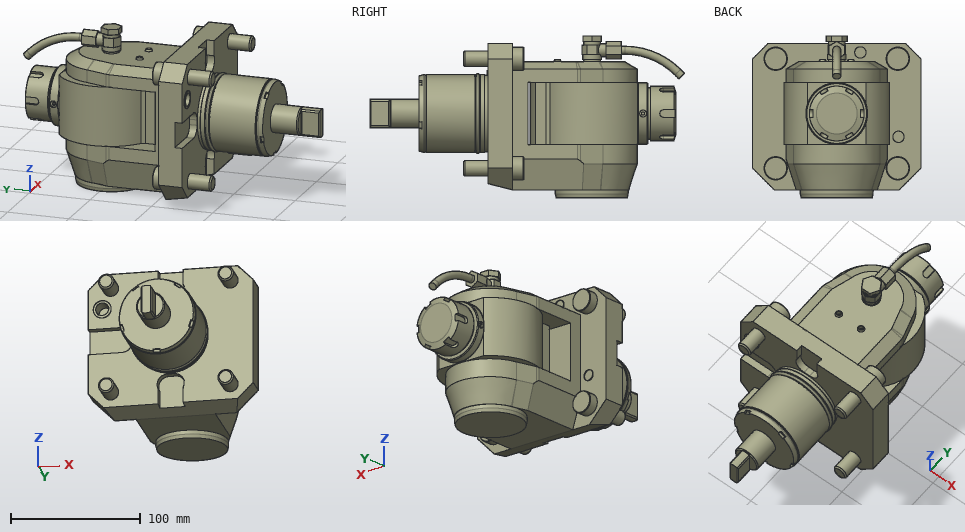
import cadquery as cq
import math


PLATE_WIDTH = 130.0
PLATE_THICKNESS = 19.2
PLATE_TOP = 54.0
PLATE_BACK_BOTTOM = 59.0
PLATE_CORNER = 12.1

SCREW_X = 47.0
SCREW_Z = 42.2
SCREW_RADIUS = 6.0
SCREW_REACH = 19.0
SCREW_HEAD_RADIUS = 9.0
SCREW_HEAD_LENGTH = 8.5
SCREW_CHAMFER = 1.2
SCREW_HEAD_CHAMFER = 0.5

SLOT_DEPTH = 6.0
SLOT_WIDTH = 19.7
SLOT_RELIEF_WIDTH = 21.4
SLOT_RELIEF_Z = 38.3
SLOT_END_RADIUS = 8.0
SIDE_SLOT_WIDTH = 20.5
SIDE_SLOT_END = SLOT_RELIEF_Z - SLOT_END_RADIUS

PORT_X = -53.9
PORT_Z = 26.0
PORT_RADIUS = 5.0
PORT_DEPTH = 12.1
PORT_RING_RADIUS = 7.0
PORT_RING_HEIGHT = 0.6

PLUG_CENTRES = [(-18.2, 47.0), (-47.5, -18.0)]
PLUG_RADIUS = 4.4
PLUG_HEIGHT = 0.7

SHANK_RADIUS = 30.0
SHANK_NECK_RADIUS = 29.5
SHANK_COLLAR_START = 2.5
SHANK_COLLAR_END = 5.8
O_RING_Y = -7.8
O_RING_RADIUS = 30.8
O_RING_THICKNESS = 2.7
SHANK_GROOVE_RADIUS = 28.5
SHANK_BODY_START = 10.0
END_GROOVE_START = 47.3
END_GROOVE_WIDTH = 1.0
SHANK_LENGTH = 53.1
SHANK_END_CHAMFER = 1.0
SHANK_END_CHAMFER_LENGTH = 3.6
NOTCH_COUNT = 5
NOTCH_WIDTH = 5.5
NOTCH_LENGTH = 2.2
NOTCH_FLOOR_RADIUS = 27.7
SHAFT_RADIUS = 11.2
SHAFT_END = 75.5
SHAFT_CHAMFER = 1.0
TANG_THICKNESS = 8.5
TANG_END = 91.0
TANG_CHAMFER = 1.0

SWIVEL_Y = 81.3
HOUSING_HALF_WIDTH = 39.0
HOUSING_STRAIGHT_END = 69.0
NOSE_BEVEL_X = 38.5
NOSE_BEVEL_Y = 71.3
NOSE_ARC_X = 33.2
NOSE_ARC_Y = 88.5
HOUSING_TOP = 40.0
TOP_CHAMFER_HEIGHT = 5.8
TOP_CHAMFER_WIDTH = 9.7
HOUSING_BOTTOM = -59.0
NOSE_TAPER_START = -38.8
SIDE_TAPER_START = -35.0
BOTTOM_TAPER_ANGLE = 18.0
FORK_HALF_GAP = 24.0
FORK_FLOOR = 31.0

CAP_RADIUS = 28.1
CAP_HEIGHT = 6.0
CAP_CHAMFER = 0.7
CAP_CHAMFER_HEIGHT = 3.0
CAP_Y = 80.0

TOP_SCREW_X = 11.0
TOP_SCREW_Y = 53.6
TOP_SCREW_RADIUS = 3.0
TOP_SCREW_RIM_RADIUS = 2.2
TOP_SCREW_HEIGHT = 1.5
TOP_SCREW_SOCKET_RADIUS = 1.7
TOP_SCREW_SOCKET_DEPTH = 3.6

FITTING_Y = 80.3
FITTING_BASE_RADIUS = 6.5
FITTING_FLANGE_RADIUS = 7.3
FITTING_FLANGE_Z = 41.5
FITTING_BLOCK_Z = 45.5
FITTING_BLOCK_TOP = 52.7
FITTING_BLOCK_DIAMETER = 15.8
BOLT_HEAD_Z = 55.3
BOLT_HEAD_TOP = 60.0
BOLT_HEAD_DIAMETER = 16.5
HOSE_Z = 48.8
HOSE_NECK_RADIUS = 5.0
HOSE_NUT_START = 91.2
HOSE_NUT_END = 103.0
HOSE_NUT_DIAMETER = 13.5
HOSE_FERRULE_END = 105.5
HOSE_RADIUS = 3.2
HOSE_BEND_RADIUS = 57.8
HOSE_BEND_ANGLE = 45.0
HOSE_TIP_LENGTH = 4.4

HEAD_RADIUS = 40.8
HEAD_BACK = 115.3
TAB_ROOT_Y = 48.0
TAB_SHOULDER_Y = 44.7
TAB_CORNER_Y = 36.6
TAB_HALF_WIDTH = 22.3
TAB_FRONT_Y = 32.5

COLLAR_RADIUS = 23.8
COLLAR_END = 123.3
COLLAR_CHAMFER = 0.7
NUT_GROOVE_RADIUS = 20.0
NUT_START = 125.2
NUT_RADIUS = 21.0
NUT_CHAMFER_Y = 143.5
NUT_END = 145.0
NUT_END_RADIUS = 15.8
NUT_SLOT_COUNT = 6
NUT_SLOT_WIDTH = 5.8
NUT_SLOT_DEPTH = 2.7
NUT_SLOT_END = 132.5
SET_SCREW_Y = 119.6
SET_SCREW_RADIUS = 2.7
SET_SCREW_RECESS = 1.5
SET_SCREW_SOCKET_RADIUS = 1.2
SET_SCREW_SOCKET_DEPTH = 3.0


def cylinder_y(radius, y_from, y_to, x=0.0, z=0.0):
    """Cylinder along Y between two Y positions."""
    return cq.Workplane("XZ", origin=(x, y_from, z)).circle(radius).extrude(y_from - y_to)


def cylinder_z(radius, z_from, z_to, x=0.0, y=0.0):
    """Cylinder along Z between two Z positions."""
    return cq.Workplane("XY", origin=(x, y, z_from)).circle(radius).extrude(z_to - z_from)


def cylinder_x(radius, x_from, x_to, y=0.0, z=0.0):
    """Cylinder along X between two X positions."""
    return cq.Workplane("YZ", origin=(x_from, y, z)).circle(radius).extrude(x_to - x_from)


def turned_y(profile):
    """Solid turned about the Y axis from (radius, Y) points that start and end on the axis."""
    return cq.Workplane("XY").polyline(profile).close().revolve(360, (0, 0, 0), (0, 1, 0))


def box_between(x_from, x_to, y_from, y_to, z_from, z_to):
    """Box given by its limits on each axis."""
    size = (x_to - x_from, y_to - y_from, z_to - z_from)
    return cq.Workplane("XY").box(*size, centered=False).translate((x_from, y_from, z_from))


def make_plate():
    """Octagonal plate whose bottom edge slopes down towards the back."""
    half = PLATE_WIDTH / 2
    shoulder = half - PLATE_CORNER
    back_shoulder = shoulder - (PLATE_BACK_BOTTOM - PLATE_TOP)
    side_z = PLATE_TOP - PLATE_CORNER
    outline = [
        (-half, side_z),
        (-shoulder, PLATE_TOP),
        (shoulder, PLATE_TOP),
        (half, side_z),
        (half, -side_z),
        (back_shoulder, -PLATE_BACK_BOTTOM),
        (-back_shoulder, -PLATE_BACK_BOTTOM),
        (-half, -side_z),
    ]
    plate = cq.Workplane("XZ").polyline(outline).close().extrude(-PLATE_THICKNESS)
    slope = [(0, -PLATE_TOP), (PLATE_THICKNESS, -PLATE_BACK_BOTTOM), (0, -PLATE_BACK_BOTTOM)]
    return plate.cut(cq.Workplane("YZ").polyline(slope).close().extrude(half, both=True))


def cut_key_slots(plate):
    """Top, bottom and left key slots in the front face."""
    half_slot = SLOT_WIDTH / 2
    for side in (1, -1):
        z_limits = sorted((side * SLOT_RELIEF_Z, side * PLATE_BACK_BOTTOM))
        plate = plate.cut(box_between(-half_slot, half_slot, 0, SLOT_DEPTH, *z_limits))
        relief = (
            cq.Workplane("XZ", origin=(0, 0, side * SLOT_RELIEF_Z))
            .slot2D(SLOT_RELIEF_WIDTH, 2 * SLOT_END_RADIUS)
            .extrude(-SLOT_DEPTH)
        )
        plate = plate.cut(relief)
    half_side_slot = SIDE_SLOT_WIDTH / 2
    side_slot = box_between(
        -PLATE_WIDTH / 2, -SIDE_SLOT_END, 0, SLOT_DEPTH, -half_side_slot, half_side_slot
    )
    return plate.cut(side_slot.edges("|Y and >X").fillet(SLOT_END_RADIUS))


def add_coolant_port(plate):
    """Blind port ringed by a seal that stands slightly proud of the front face."""
    ring = cylinder_y(PORT_RING_RADIUS, -PORT_RING_HEIGHT, 0, PORT_X, PORT_Z)
    bore = cylinder_y(PORT_RADIUS, -PORT_RING_HEIGHT, PORT_DEPTH, PORT_X, PORT_Z)
    return plate.union(ring).cut(bore)


def make_plate_screw(x, z):
    """Cap screw through the plate, head on the back."""
    shaft = cylinder_y(SCREW_RADIUS, -SCREW_REACH, PLATE_THICKNESS, x, z)
    shaft = shaft.faces("<Y").chamfer(SCREW_CHAMFER)
    head = cylinder_y(SCREW_HEAD_RADIUS, PLATE_THICKNESS, PLATE_THICKNESS + SCREW_HEAD_LENGTH, x, z)
    return shaft.union(head.faces(">Y").chamfer(SCREW_HEAD_CHAMFER))


def make_shank():
    """Turned shank with O-ring, end groove and rim notches, carrying the drive shaft and its flat tang."""
    end_groove_end = END_GROOVE_START + END_GROOVE_WIDTH
    shank = turned_y([
        (0, 0),
        (SHANK_NECK_RADIUS, 0),
        (SHANK_NECK_RADIUS, -SHANK_COLLAR_START),
        (SHANK_RADIUS, -SHANK_COLLAR_START),
        (SHANK_RADIUS, -SHANK_COLLAR_END),
        (SHANK_GROOVE_RADIUS, -SHANK_COLLAR_END),
        (SHANK_GROOVE_RADIUS, -SHANK_BODY_START),
        (SHANK_RADIUS, -SHANK_BODY_START),
        (SHANK_RADIUS, -END_GROOVE_START),
        (SHANK_NECK_RADIUS, -END_GROOVE_START),
        (SHANK_NECK_RADIUS, -end_groove_end),
        (SHANK_RADIUS, -end_groove_end),
        (SHANK_RADIUS, SHANK_END_CHAMFER_LENGTH - SHANK_LENGTH),
        (SHANK_RADIUS - SHANK_END_CHAMFER, -SHANK_LENGTH),
        (0, -SHANK_LENGTH),
    ])
    section_radius = O_RING_THICKNESS / 2
    o_ring = (
        cq.Workplane("XY", origin=(O_RING_RADIUS - section_radius, O_RING_Y, 0))
        .circle(section_radius)
        .revolve(360, (section_radius - O_RING_RADIUS, 0, 0), (section_radius - O_RING_RADIUS, 1, 0))
    )
    shank = shank.union(o_ring)
    half_notch = NOTCH_WIDTH / 2
    notch_end = NOTCH_LENGTH - SHANK_LENGTH
    notch = box_between(
        -half_notch, half_notch, -SHANK_LENGTH, notch_end, -SHANK_RADIUS, -NOTCH_FLOOR_RADIUS
    )
    for index in range(NOTCH_COUNT):
        shank = shank.cut(notch.rotate((0, 0, 0), (0, 1, 0), index * 360 / NOTCH_COUNT))
    shaft = cylinder_y(SHAFT_RADIUS, -SHAFT_END, -SHANK_LENGTH).faces("<Y").chamfer(SHAFT_CHAMFER)
    tang = cylinder_y(SHAFT_RADIUS, -TANG_END, -SHAFT_END)
    tang = tang.intersect(cq.Workplane("XY").box(TANG_THICKNESS, 2 * TANG_END, 2 * SHAFT_RADIUS))
    tang = tang.faces("<X or >X").chamfer(TANG_CHAMFER)
    return shank.union(shaft).union(tang)


def fork_outline(z):
    """Fork outline: straight sides, a slight bevel, converging flanks and a round nose."""
    return (
        cq.Workplane("XY", origin=(0, 0, z))
        .moveTo(-HOUSING_HALF_WIDTH, 0)
        .lineTo(HOUSING_HALF_WIDTH, 0)
        .lineTo(HOUSING_HALF_WIDTH, HOUSING_STRAIGHT_END)
        .lineTo(NOSE_BEVEL_X, NOSE_BEVEL_Y)
        .lineTo(NOSE_ARC_X, NOSE_ARC_Y)
        .threePointArc((0, HEAD_BACK), (-NOSE_ARC_X, NOSE_ARC_Y))
        .lineTo(-NOSE_BEVEL_X, NOSE_BEVEL_Y)
        .lineTo(-HOUSING_HALF_WIDTH, HOUSING_STRAIGHT_END)
        .close()
    )


def make_fork():
    """Fork behind the plate: bevelled top, tapering bottom, open gap for the swivel head."""
    bevel_start = HOUSING_TOP - TOP_CHAMFER_HEIGHT
    bevel_angle = math.degrees(math.atan2(TOP_CHAMFER_WIDTH, TOP_CHAMFER_HEIGHT))
    fork = fork_outline(NOSE_TAPER_START).extrude(bevel_start - NOSE_TAPER_START)
    fork = fork.union(fork_outline(bevel_start).extrude(TOP_CHAMFER_HEIGHT, taper=bevel_angle))
    bottom_depth = HOUSING_BOTTOM - NOSE_TAPER_START
    bottom = fork_outline(NOSE_TAPER_START).extrude(bottom_depth, taper=BOTTOM_TAPER_ANGLE)
    fork = fork.union(bottom)

    side_depth = SIDE_TAPER_START - HOUSING_BOTTOM
    side_inset = side_depth * math.tan(math.radians(BOTTOM_TAPER_ANGLE))
    for side in (1, -1):
        wedge = [
            (side * HOUSING_HALF_WIDTH, SIDE_TAPER_START),
            (side * HOUSING_HALF_WIDTH, HOUSING_BOTTOM),
            (side * (HOUSING_HALF_WIDTH - side_inset), HOUSING_BOTTOM),
        ]
        fork = fork.cut(cq.Workplane("XZ").polyline(wedge).close().extrude(-SWIVEL_Y))

    behind_plate = box_between(
        -HOUSING_HALF_WIDTH, HOUSING_HALF_WIDTH, PLATE_THICKNESS, HEAD_BACK, HOUSING_BOTTOM, HOUSING_TOP
    )
    gap = box_between(
        -HEAD_RADIUS, HEAD_RADIUS, FORK_FLOOR, HEAD_BACK, -FORK_HALF_GAP, FORK_HALF_GAP
    )
    return fork.intersect(behind_plate).cut(gap)


def make_pivot_cap():
    """Round cap under the fork, narrowing towards its lower face."""
    cap = cylinder_z(CAP_RADIUS, HOUSING_BOTTOM - CAP_HEIGHT, HOUSING_BOTTOM, y=CAP_Y)
    return cap.faces("<Z").edges().chamfer(CAP_CHAMFER_HEIGHT, CAP_CHAMFER)


def add_top_screw(fork, x):
    """Small socket screw with a conical rim on the fork's top face."""
    rim = (
        cq.Workplane("XY", origin=(x, TOP_SCREW_Y, HOUSING_TOP))
        .circle(TOP_SCREW_RADIUS)
        .workplane(offset=TOP_SCREW_HEIGHT)
        .circle(TOP_SCREW_RIM_RADIUS)
        .loft()
    )
    rim_top = HOUSING_TOP + TOP_SCREW_HEIGHT
    socket = cylinder_z(
        TOP_SCREW_SOCKET_RADIUS, rim_top - TOP_SCREW_SOCKET_DEPTH, rim_top, x, TOP_SCREW_Y
    )
    return fork.union(rim).cut(socket)


def make_fitting():
    """Banjo fitting: round column with a hexagonal block and a hexagonal bolt head."""
    column = cylinder_z(FITTING_BASE_RADIUS, HOUSING_TOP, BOLT_HEAD_Z, y=FITTING_Y)
    flange = cylinder_z(FITTING_FLANGE_RADIUS, FITTING_FLANGE_Z, FITTING_BLOCK_Z, y=FITTING_Y)
    block = (
        cq.Workplane("XY", origin=(0, FITTING_Y, FITTING_BLOCK_Z))
        .transformed(rotate=(0, 0, 90))
        .polygon(6, FITTING_BLOCK_DIAMETER)
        .extrude(FITTING_BLOCK_TOP - FITTING_BLOCK_Z)
    )
    bolt_head = (
        cq.Workplane("XY", origin=(0, FITTING_Y, BOLT_HEAD_Z))
        .polygon(6, BOLT_HEAD_DIAMETER)
        .extrude(BOLT_HEAD_TOP - BOLT_HEAD_Z)
    )
    return column.union(flange).union(block).union(bolt_head)


def make_hose():
    """Hose leaving the fitting through a hexagonal nut and bending down in one arc."""
    neck = cylinder_y(HOSE_NECK_RADIUS, FITTING_Y, HOSE_NUT_START, z=HOSE_Z)
    nut = (
        cq.Workplane("XZ", origin=(0, HOSE_NUT_START, HOSE_Z))
        .transformed(rotate=(0, 0, 90))
        .polygon(6, HOSE_NUT_DIAMETER)
        .extrude(HOSE_NUT_START - HOSE_NUT_END)
    )
    ferrule = cylinder_y(HOSE_RADIUS, HOSE_NUT_END, HOSE_FERRULE_END, z=HOSE_Z)
    bend = (
        cq.Workplane("XZ", origin=(0, HOSE_FERRULE_END, HOSE_Z))
        .circle(HOSE_RADIUS)
        .revolve(HOSE_BEND_ANGLE, (2.5, -HOSE_BEND_RADIUS, 0), (0, -HOSE_BEND_RADIUS, 0))
    )
    angle = math.radians(HOSE_BEND_ANGLE)
    tip_start = cq.Vector(
        0,
        HOSE_FERRULE_END + HOSE_BEND_RADIUS * math.sin(angle),
        HOSE_Z - HOSE_BEND_RADIUS * (1 - math.cos(angle)),
    )
    tip_direction = cq.Vector(0, math.cos(angle), -math.sin(angle))
    tip = cq.Solid.makeCylinder(HOSE_RADIUS, HOSE_TIP_LENGTH, tip_start, tip_direction)
    return neck.union(nut).union(ferrule).union(bend).union(cq.Workplane(tip))


def make_housing():
    """Everything fixed to the plate, joined into one body."""
    housing = add_coolant_port(cut_key_slots(make_plate()))
    for x, z in PLUG_CENTRES:
        plug = cylinder_y(PLUG_RADIUS, PLATE_THICKNESS, PLATE_THICKNESS + PLUG_HEIGHT, x, z)
        housing = housing.union(plug)
    housing = housing.union(make_shank()).union(make_fork()).union(make_pivot_cap())
    for x in (-SCREW_X, SCREW_X):
        for z in (-SCREW_Z, SCREW_Z):
            housing = housing.union(make_plate_screw(x, z))
    for x in (-TOP_SCREW_X, TOP_SCREW_X):
        housing = add_top_screw(housing, x)
    return housing.union(make_fitting()).union(make_hose())


def chord_half_width(y):
    """Half width of the head's round outline at a given Y."""
    return math.sqrt(HEAD_RADIUS**2 - (y - SWIVEL_Y) ** 2)


def make_head_block():
    """Round block with a flat back and a rounded tab at the front."""
    back_x = chord_half_width(HEAD_BACK)
    root_x = chord_half_width(TAB_ROOT_Y)
    return (
        cq.Workplane("XY", origin=(0, 0, -FORK_HALF_GAP))
        .moveTo(-back_x, HEAD_BACK)
        .lineTo(back_x, HEAD_BACK)
        .threePointArc((HEAD_RADIUS, SWIVEL_Y), (root_x, TAB_ROOT_Y))
        .lineTo(TAB_HALF_WIDTH, TAB_SHOULDER_Y)
        .lineTo(TAB_HALF_WIDTH, TAB_CORNER_Y)
        .threePointArc((0, TAB_FRONT_Y), (-TAB_HALF_WIDTH, TAB_CORNER_Y))
        .lineTo(-TAB_HALF_WIDTH, TAB_SHOULDER_Y)
        .lineTo(-root_x, TAB_ROOT_Y)
        .threePointArc((-HEAD_RADIUS, SWIVEL_Y), (-back_x, HEAD_BACK))
        .close()
        .extrude(2 * FORK_HALF_GAP)
    )


def make_collet_nut():
    """Collar and nut, with round-ended spanner slots around the nut's rim."""
    nut = turned_y([
        (0, HEAD_BACK),
        (COLLAR_RADIUS - COLLAR_CHAMFER, HEAD_BACK),
        (COLLAR_RADIUS, HEAD_BACK + COLLAR_CHAMFER),
        (COLLAR_RADIUS, COLLAR_END - COLLAR_CHAMFER),
        (COLLAR_RADIUS - COLLAR_CHAMFER, COLLAR_END),
        (NUT_GROOVE_RADIUS, COLLAR_END),
        (NUT_GROOVE_RADIUS, NUT_START),
        (NUT_RADIUS, NUT_START),
        (NUT_RADIUS, NUT_CHAMFER_Y),
        (NUT_END_RADIUS, NUT_END),
        (0, NUT_END),
    ])
    half_slot = NUT_SLOT_WIDTH / 2
    floor_x = NUT_RADIUS - NUT_SLOT_DEPTH
    round_y = NUT_SLOT_END + half_slot
    slot = box_between(floor_x, NUT_RADIUS, round_y, NUT_END, -half_slot, half_slot)
    slot = slot.union(cylinder_x(half_slot, floor_x, NUT_RADIUS, round_y))
    for index in range(NUT_SLOT_COUNT):
        nut = nut.cut(slot.rotate((0, 0, 0), (0, 1, 0), index * 360 / NUT_SLOT_COUNT))
    return nut


def cut_set_screws(nut):
    """Recessed socket set screws on both sides of the collar."""
    for side in (1, -1):
        rim_x = side * COLLAR_RADIUS
        recess_x = side * (COLLAR_RADIUS - SET_SCREW_RECESS)
        socket_x = side * (COLLAR_RADIUS - SET_SCREW_SOCKET_DEPTH)
        nut = nut.cut(cylinder_x(SET_SCREW_RADIUS, recess_x, rim_x, SET_SCREW_Y))
        nut = nut.cut(cylinder_x(SET_SCREW_SOCKET_RADIUS, socket_x, rim_x, SET_SCREW_Y))
    return nut


def make_swivel_head():
    """Head block and collet nut as one body."""
    return make_head_block().union(cut_set_screws(make_collet_nut()))


housing = make_housing()
swivel_head = make_swivel_head()
result = cq.Compound.makeCompound([housing.val(), swivel_head.val()])